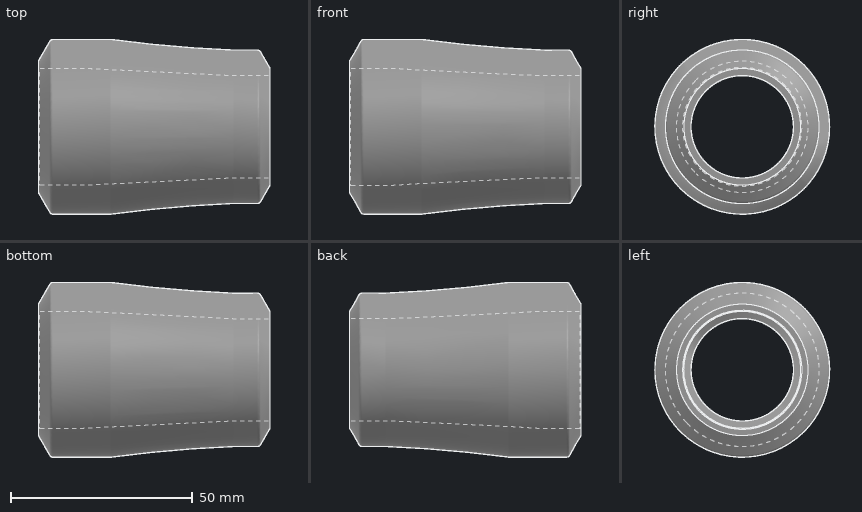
import cadquery as cq
import math

length = 64.0
large_outer_radius = 48.3 / 2
small_outer_radius = 42.4 / 2
large_bore_radius = 32.3 / 2
small_bore_radius = 28.2 / 2
large_neck_length = 20.0
small_neck_length = 10.0
large_bore_length = 12.0
small_bore_length = small_neck_length
mouth_chamfer = 0.3
taper_sag = 0.4

root_face = 2.0
bevel_angle = math.radians(30.0)
bevel_edge_radius = 1.0
shoulder_radius = 1.0

taper_start = large_neck_length
taper_end = length - small_neck_length


def bevel_depth(outer_radius, bore_radius):
    """Axial depth of the weld bevel from the root face to the outer cylinder."""
    return (outer_radius - bore_radius - root_face) * math.tan(bevel_angle)


large_bevel = bevel_depth(large_outer_radius, large_bore_radius)
small_bevel = bevel_depth(small_outer_radius, small_bore_radius)


def reducer_body():
    """Revolve the solid outer shape, with both bevels and the concave taper."""
    taper_middle = (
        (taper_start + taper_end) / 2,
        (large_outer_radius + small_outer_radius) / 2 - taper_sag,
    )
    return (
        cq.Workplane("XY")
        .moveTo(0, 0)
        .lineTo(0, large_bore_radius + root_face)
        .lineTo(large_bevel, large_outer_radius)
        .lineTo(taper_start, large_outer_radius)
        .threePointArc(taper_middle, (taper_end, small_outer_radius))
        .lineTo(length - small_bevel, small_outer_radius)
        .lineTo(length, small_bore_radius + root_face)
        .lineTo(length, 0)
        .close()
        .revolve(360, (0, 0, 0), (1, 0, 0))
    )


def outer_edge(edge_x, outer_radius):
    """Select the circular outer edge that lies in the plane X = edge_x."""
    margin = 0.1
    reach = outer_radius + margin
    return cq.selectors.BoxSelector(
        (edge_x - margin, -reach, -reach),
        (edge_x + margin, reach, reach),
    )


def round_outer_edges(body):
    """Round both bevel edges and the shoulder at the start of the taper."""
    for edge_x, outer_radius, fillet_radius in (
        (large_bevel, large_outer_radius, bevel_edge_radius),
        (taper_start, large_outer_radius, shoulder_radius),
        (length - small_bevel, small_outer_radius, bevel_edge_radius),
    ):
        body = body.edges("%CIRCLE").edges(outer_edge(edge_x, outer_radius)).fillet(fillet_radius)
    return body


def bore():
    """Through bore: chamfered large cylinder, cone, small cylinder."""
    return (
        cq.Workplane("XY")
        .moveTo(0, 0)
        .lineTo(0, large_bore_radius + mouth_chamfer)
        .lineTo(mouth_chamfer, large_bore_radius)
        .lineTo(large_bore_length, large_bore_radius)
        .lineTo(length - small_bore_length, small_bore_radius)
        .lineTo(length, small_bore_radius)
        .lineTo(length, 0)
        .close()
        .revolve(360, (0, 0, 0), (1, 0, 0))
    )


result = round_outer_edges(reducer_body()).cut(bore())